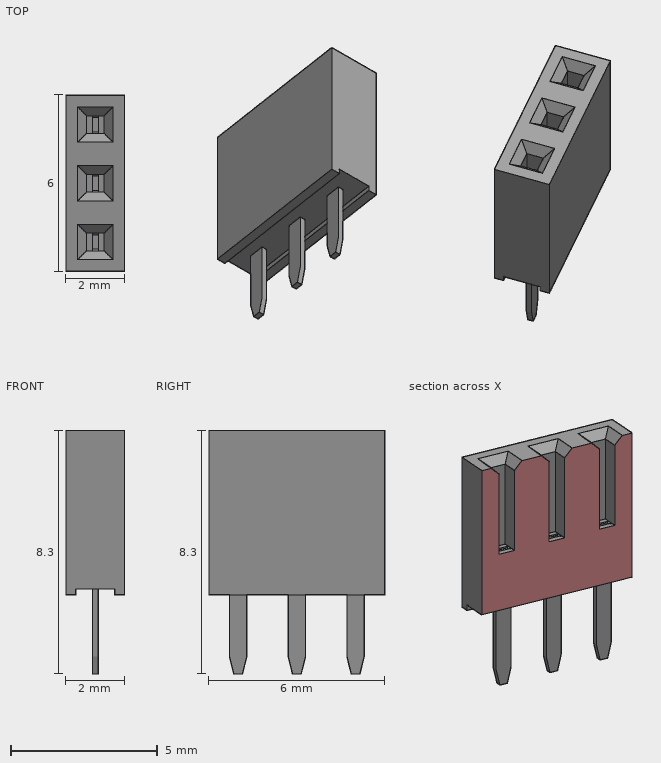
import cadquery as cq

contact_count = 3
pitch = 2.0
total_height = 8.3

housing_width = pitch
housing_length = contact_count * pitch
housing_height = 5.6
housing_bottom = total_height - housing_height

rail_width = 0.34
channel_depth = 0.2
channel_width = housing_width - 2 * rail_width
channel_top = housing_bottom + channel_depth

pin_thickness = 0.2
pin_width = 0.6
tip_width = 0.3
tip_height = 0.6

mouth_size = 1.2
mouth_depth = 0.3
shaft_size = pin_width
shaft_depth = 2.99
slot_thickness = pin_thickness
slot_floor_length = 0.49
slot_depth = (shaft_size - slot_floor_length) / 2


def make_housing():
    """Rectangular block with a channel running the full length of its underside."""
    block = (
        cq.Workplane("XY")
        .workplane(offset=housing_bottom)
        .rect(housing_width, housing_length)
        .extrude(housing_height)
    )
    channel = (
        cq.Workplane("XY")
        .workplane(offset=housing_bottom)
        .rect(channel_width, housing_length)
        .extrude(channel_depth)
    )
    return block.cut(channel)


def make_pin(y):
    """Flat pin hanging from the channel, tapered across its width at the tip."""
    return (
        cq.Workplane("YZ")
        .moveTo(y - tip_width / 2, 0)
        .lineTo(y + tip_width / 2, 0)
        .lineTo(y + pin_width / 2, tip_height)
        .lineTo(y + pin_width / 2, channel_top)
        .lineTo(y - pin_width / 2, channel_top)
        .lineTo(y - pin_width / 2, tip_height)
        .close()
        .extrude(pin_thickness / 2, both=True)
    )


def tapered_hole(y, top, depth, top_size, bottom_size):
    """Cutter that changes from one (x, y) rectangle to another going down from top."""
    return (
        cq.Workplane("XY", origin=(0, y, top))
        .rect(*top_size)
        .workplane(offset=-depth)
        .rect(*bottom_size)
        .loft(ruled=True)
    )


def make_socket(y):
    """Cutter for one complete socket."""
    mouth_bottom = total_height - mouth_depth
    shaft_bottom = mouth_bottom - shaft_depth
    shaft_section = (shaft_size, shaft_size)
    mouth = tapered_hole(y, total_height, mouth_depth, (mouth_size, mouth_size), shaft_section)
    shaft = tapered_hole(y, mouth_bottom, shaft_depth, shaft_section, shaft_section)
    slot = tapered_hole(
        y,
        shaft_bottom,
        slot_depth,
        (slot_thickness, shaft_size),
        (slot_thickness, slot_floor_length),
    )
    return mouth.union(shaft).union(slot)


result = make_housing()
for index in range(contact_count):
    contact_y = (index - (contact_count - 1) / 2) * pitch
    result = result.cut(make_socket(contact_y))
    result = result.union(make_pin(contact_y))